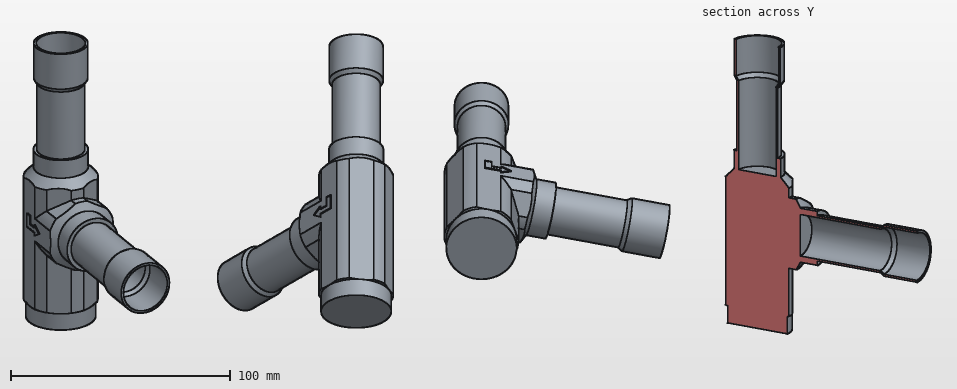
import cadquery as cq
import math

across_flats = 32.0
corner_diameter = 34.0
corner_radius = corner_diameter / 2

hex_bottom = 8.2
foot_chamfer_height = 0.4
body_top = 74.4
collar_top = 83.3
overall_height = 136.3
body_collar_diameter = 25.0

branch_height = 48.4
branch_hex_end = 23.0
branch_collar_end = 32.0
overall_width = 102.0
branch_end = overall_width - corner_radius
branch_collar_diameter = 26.0
branch_chamfer_angle = 30.0

tube_diameter = 22.0
tube_bore = 19.6
socket_diameter = 24.7
socket_bore = 22.4
socket_length = 17.5
socket_taper = 2.0

arrow_relief = 0.48
arrow_left = -1.8
arrow_stem_right = 1.4
arrow_head_start = 5.7
arrow_tip = 10.4
arrow_top = 5.5
arrow_shaft_half = 1.2
arrow_head_half = 2.7


def cylinder(diameter, start, end):
    return cq.Workplane("XY").workplane(offset=start).circle(diameter / 2).extrude(end - start)


def revolve_profile(points):
    """Revolve a closed (radius, height) outline about Z."""
    return cq.Workplane("XZ").polyline(points).close().revolve(360, (0, 0, 0), (0, 1, 0))


def rounded_hexagon(start, end, end_diameter, chamfer_height, start_chamfer=0):
    """Hexagonal bar along Z with turned corners, a conical top and an optional bottom chamfer."""
    hexagon = (
        cq.Workplane("XY")
        .workplane(offset=start)
        .polygon(6, across_flats / math.cos(math.radians(30)))
        .extrude(end - start)
    )
    outline = [
        (corner_radius, start + start_chamfer),
        (corner_radius, end - chamfer_height),
        (end_diameter / 2, end),
        (0, end),
        (0, start),
    ]
    if start_chamfer:
        outline.append((across_flats / 2, start))
    else:
        outline.append((corner_radius, start))
    envelope = revolve_profile(outline)
    return hexagon.intersect(envelope)


def tube_outline(outer, socket_outer, start, end):
    """Solid of revolution with a tapered step up to the socket diameter."""
    socket_start = end - socket_length
    return revolve_profile([
        (0, start),
        (outer / 2, start),
        (outer / 2, socket_start - socket_taper),
        (socket_outer / 2, socket_start),
        (socket_outer / 2, end),
        (0, end),
    ])


def connection_tube(start, end):
    outside = tube_outline(tube_diameter, socket_diameter, start, end)
    inside = tube_outline(tube_bore, socket_bore, start, end)
    return outside.cut(inside)


def connection(hex_end, collar_end, tube_end, collar_diameter):
    """Collar and tube along Z; the bore stops at the end of the hexagon."""
    collar = cylinder(collar_diameter, hex_end, collar_end)
    bore = cylinder(tube_bore, hex_end, collar_end)
    return collar.cut(bore).union(connection_tube(hex_end, tube_end))


def flow_arrow():
    """Raised arrow running through the body so it shows on both flats."""
    half_depth = across_flats / 2 + arrow_relief
    return (
        cq.Workplane("XZ", origin=(0, 0, branch_height))
        .moveTo(arrow_left, arrow_top)
        .lineTo(arrow_stem_right, arrow_top)
        .lineTo(arrow_stem_right, arrow_shaft_half)
        .lineTo(arrow_head_start, arrow_shaft_half)
        .lineTo(arrow_head_start, arrow_head_half)
        .lineTo(arrow_tip, 0)
        .lineTo(arrow_head_start, -arrow_head_half)
        .lineTo(arrow_head_start, -arrow_shaft_half)
        .lineTo(arrow_left, -arrow_shaft_half)
        .close()
        .extrude(half_depth, both=True)
    )


body_chamfer = corner_radius - body_collar_diameter / 2
body = cylinder(across_flats, 0, hex_bottom)
body = body.union(
    rounded_hexagon(hex_bottom, body_top, body_collar_diameter, body_chamfer, foot_chamfer_height)
)
body = body.union(connection(body_top, collar_top, overall_height, body_collar_diameter))

branch_drop = corner_radius - branch_collar_diameter / 2
branch_chamfer = branch_drop * math.tan(math.radians(branch_chamfer_angle))
branch = rounded_hexagon(0, branch_hex_end, branch_collar_diameter, branch_chamfer)
branch = branch.union(
    connection(branch_hex_end, branch_collar_end, branch_end, branch_collar_diameter)
)
branch = branch.rotate((0, 0, 0), (0, 1, 0), 90).translate((0, 0, branch_height))

result = body.union(branch).union(flow_arrow())